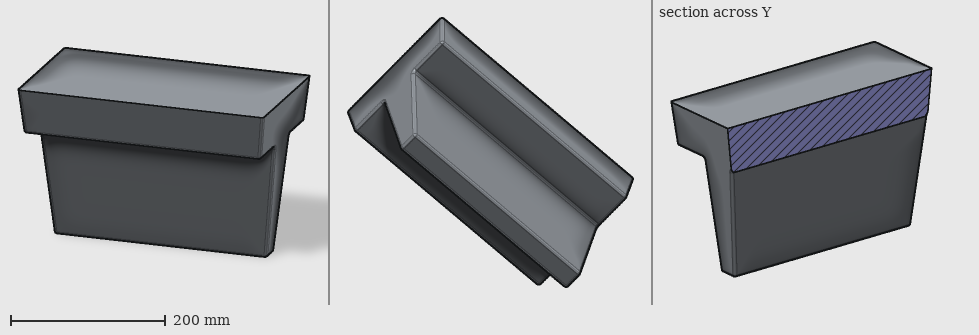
import cadquery as cq
import math

length = 337.0
width = 182.0
height = 218.0
flange_depth = 60.0
web_bottom_width = 28.6
draft_angle = 6.0
web_draft_angle = 5.2
edge_radius = 4.0

flange_inset = flange_depth * math.tan(math.radians(draft_angle))
end_inset = height * math.tan(math.radians(draft_angle))
web_spread = (height - flange_depth) * math.tan(math.radians(web_draft_angle))

half_width_top = width / 2
half_width_flange_bottom = half_width_top - flange_inset
half_width_web_bottom = web_bottom_width / 2
half_width_web_top = half_width_web_bottom + web_spread


def tee_prism():
    """T-shaped section in the YZ plane, extruded along the full length."""
    return (
        cq.Workplane("YZ")
        .polyline([
            (-half_width_top, 0),
            (half_width_top, 0),
            (half_width_flange_bottom, -flange_depth),
            (half_width_web_top, -flange_depth),
            (half_width_web_bottom, -height),
            (-half_width_web_bottom, -height),
            (-half_width_web_top, -flange_depth),
            (-half_width_flange_bottom, -flange_depth),
        ])
        .close()
        .extrude(length / 2, both=True)
    )


def end_taper():
    """Trapezoid in the XZ plane that gives the two end faces their draft."""
    half_length_top = length / 2
    half_length_bottom = half_length_top - end_inset
    return (
        cq.Workplane("XZ")
        .polyline([
            (-half_length_top, 0),
            (half_length_top, 0),
            (half_length_bottom, -height),
            (-half_length_bottom, -height),
        ])
        .close()
        .extrude(width, both=True)
    )


tapered_tee = tee_prism().intersect(end_taper())

top_rim = tapered_tee.faces(">Z").edges()
rounded_edges = tapered_tee.edges().filter(
    lambda edge: not any(edge.isSame(rim_edge) for rim_edge in top_rim.vals())
)
result = rounded_edges.fillet(edge_radius)